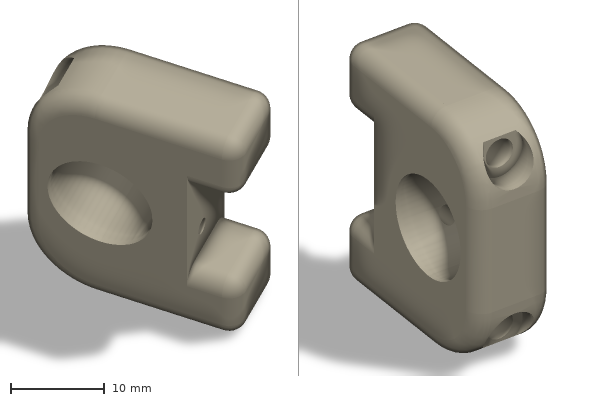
import cadquery as cq

length = 25.2
thickness = 10.0
height = 30.2
corner_radius = 8.5
edge_radius = 2.0

bore_diameter = 12.17
bore_wall = 3.0
split_x = bore_wall + bore_diameter / 2

notch_depth = 6.0
notch_width = 13.53
notch_x = length - notch_depth
arm_height = (height - notch_width) / 2
arm_center = (notch_width + arm_height) / 2

screw_offset = arm_center
counterbore_diameter = 6.0
counterbore_floor_x = 3.0
clearance_diameter = 3.5
thread_diameter = 2.5
thread_depth = 10.0

port_diameter = 1.9
port_y = -1.0
port_z = -3.3


def box(x_start, x_end, z_size, z_center=0):
    """Box of full thickness between two X positions."""
    return (
        cq.Workplane("XY")
        .box(x_end - x_start, thickness, z_size)
        .translate(((x_start + x_end) / 2, 0, z_center))
    )


def x_cylinder(diameter, x_start, x_end, z, y=0):
    """Cylinder along X at a given height and distance from the middle plane."""
    return (
        cq.Workplane("YZ", origin=(x_start, y, z))
        .circle(diameter / 2)
        .extrude(x_end - x_start)
    )


def make_bore():
    return cq.Workplane("XZ").center(split_x, 0).circle(bore_diameter / 2).extrude(thickness / 2, both=True)


def make_rounded_block():
    """Full-length block with large corners at one end and a rounded rim on both faces."""
    block = box(0, length, height).edges("|Y and <X").fillet(corner_radius)
    return block.faces("<Y or >Y").edges().fillet(edge_radius)


def make_arm(z_center):
    """Arm beyond the notch floor, rounded on every edge except at its root."""
    arm = box(split_x, length, arm_height, z_center).edges("not <X").fillet(edge_radius)
    return arm.intersect(box(notch_x, length, height))


def make_cap(block, bore):
    """Rounded half of the clamp, with counterbored clearance holes."""
    cap = block.intersect(box(0, split_x, height)).cut(bore)
    for z in (-screw_offset, screw_offset):
        cap = cap.cut(x_cylinder(counterbore_diameter, 0, counterbore_floor_x, z))
        cap = cap.cut(x_cylinder(clearance_diameter, counterbore_floor_x, split_x, z))
    return cap


def make_base(block, bore):
    """Forked half of the clamp, with blind threaded holes and the port."""
    base = block.intersect(box(split_x, notch_x, height)).cut(bore)
    for side in (-1, 1):
        base = base.union(make_arm(side * arm_center))
        base = base.cut(x_cylinder(thread_diameter, split_x, split_x + thread_depth, side * screw_offset))
    return base.cut(x_cylinder(port_diameter, split_x, notch_x, port_z, port_y))


rounded_block = make_rounded_block()
main_bore = make_bore()
cap = make_cap(rounded_block, main_bore)
base = make_base(rounded_block, main_bore)

result = cq.Compound.makeCompound([cap.val(), base.val()])